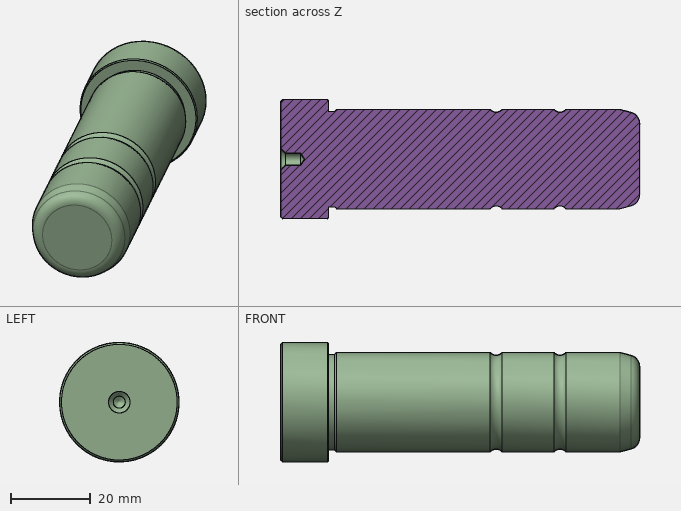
import cadquery as cq
import math

total_length = 90.0

head_diameter = 30.0
head_length = 12.0
head_front_chamfer = 0.5
head_back_chamfer = 0.3

neck_diameter = 24.0
neck_end = 14.0

shank_diameter = 25.0
groove_width = 3.0
groove_depth = 0.7
groove_centers = (54.0, 70.0)

nose_length = 5.0
nose_angle = math.radians(15.0)
nose_radius = 3.0

countersink_diameter = 5.4
pilot_diameter = 3.0
pilot_end = 5.0
countersink_half_angle = math.radians(45.0)
drill_half_angle = math.radians(59.0)

head_radius = head_diameter / 2
neck_radius = neck_diameter / 2
shank_radius = shank_diameter / 2
neck_step = shank_radius - neck_radius


def revolve_about_x(profile):
    """Turn a closed profile, drawn as (axial, radial), about the X axis."""
    return profile.close().revolve(360, (0, 0, 0), (1, 0, 0))


def make_head():
    head = cq.Workplane("YZ").circle(head_radius).extrude(head_length)
    head = head.faces("<X").edges().chamfer(head_front_chamfer)
    return head.faces(">X").edges().chamfer(head_back_chamfer)


def make_shank():
    """Neck with a 45 degree step up, shank and nose; the nose arc is tangent to the cone and the end face."""
    nose_start = total_length - nose_length
    arc_center_x = total_length - nose_radius
    tangent_x = arc_center_x + nose_radius * math.sin(nose_angle)
    tangent_r = shank_radius - (tangent_x - nose_start) * math.tan(nose_angle)
    arc_center_r = tangent_r - nose_radius * math.cos(nose_angle)
    middle_angle = (nose_angle + math.pi / 2) / 2
    arc_middle = (
        arc_center_x + nose_radius * math.sin(middle_angle),
        arc_center_r + nose_radius * math.cos(middle_angle),
    )
    profile = (
        cq.Workplane("XY")
        .moveTo(head_length, 0)
        .lineTo(head_length, neck_radius)
        .lineTo(neck_end - neck_step, neck_radius)
        .lineTo(neck_end, shank_radius)
        .lineTo(nose_start, shank_radius)
        .lineTo(tangent_x, tangent_r)
        .threePointArc(arc_middle, (total_length, arc_center_r))
        .lineTo(total_length, 0)
    )
    return revolve_about_x(profile)


def make_groove_cutter(center_x):
    """Ring with an arc-shaped section, as wide as the groove at the shank surface."""
    profile = (
        cq.Workplane("XY")
        .moveTo(center_x - groove_width / 2, shank_radius)
        .threePointArc(
            (center_x, shank_radius - groove_depth),
            (center_x + groove_width / 2, shank_radius),
        )
        .lineTo(center_x + groove_width / 2, head_radius)
        .lineTo(center_x - groove_width / 2, head_radius)
    )
    return revolve_about_x(profile)


def make_center_hole():
    """Countersink, pilot bore and conical drill tip, sunk from the head face."""
    countersink_radius = countersink_diameter / 2
    pilot_radius = pilot_diameter / 2
    countersink_depth = (countersink_radius - pilot_radius) / math.tan(countersink_half_angle)
    tip_x = pilot_end + pilot_radius / math.tan(drill_half_angle)
    profile = (
        cq.Workplane("XY")
        .moveTo(0, 0)
        .lineTo(0, countersink_radius)
        .lineTo(countersink_depth, pilot_radius)
        .lineTo(pilot_end, pilot_radius)
        .lineTo(tip_x, 0)
    )
    return revolve_about_x(profile)


result = make_head().union(make_shank())
for groove_center in groove_centers:
    result = result.cut(make_groove_cutter(groove_center))
result = result.cut(make_center_hole())